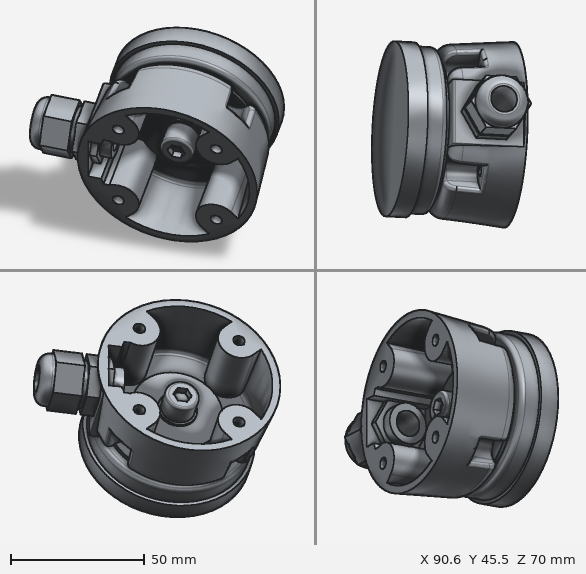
import cadquery as cq
import math

BASE_RADIUS = 35.0
BASE_HEIGHT = 28.5
BASE_DRAFT = math.radians(5.2)
BASE_EDGE_FILLET = 5.0

NECK_RADIUS = 27.0
NECK_END = 30.0
COLLAR_RADIUS = 31.5
COLLAR_FILLET = 2.0
COLLAR_END = 38.0
RIM_RADIUS = 33.0
RIM_END = 45.5

WALL = 3.0
CAVITY_RADIUS = BASE_RADIUS - WALL
CAVITY_DEPTH = BASE_HEIGHT - WALL
CAVITY_FILLET = 2.0

BOSS_CIRCLE_RADIUS = NECK_RADIUS
BOSS_RADIUS = 8.0
BOSS_ANGLES = (45, 135, 225, 315)
SCREW_HOLE_DIAMETER = 4.4
NOTCH_RADIUS = 5.0
NOTCH_FLOOR = 15.0
NOTCH_FILLET = 1.5

PAD_X = -32.7
PAD_HALF_WIDTH = 12.4
PAD_FILLET = 1.0
PAD_EDGE_FILLET = 0.2
LIP_HEIGHT = 1.1
ENTRY_WALL_X = -30.9
ENTRY_HALF_WIDTH = 9.4
ENTRY_MOUTH_HALF_WIDTH = 11.9
ENTRY_STEP_X = -25.8
ENTRY_MOUTH_X = -24.85

GLAND_Y = 13.6
GLAND_TIP_X = -55.6
GLAND_CAP_RADIUS = 10.0
GLAND_CAP_FILLET = 4.0
GLAND_NUT_X = -50.5
GLAND_NUT_END_X = -39.5
GLAND_BODY_X = -37.7
GLAND_NECK_RADIUS = 9.0
GLAND_FLATS = 20.0
LOCKNUT_END_X = -28.1
GLAND_TUBE_RADIUS = 8.0
GLAND_TUBE_END_X = -23.5
GLAND_BORE_DIAMETER = 10.0

PLATEAU_RADIUS = 17.5
PLATEAU_FRONT = 22.4
STUD_COLLAR_HEIGHT = 1.0
STUD_COLLAR_FRONT = PLATEAU_FRONT - STUD_COLLAR_HEIGHT
STUD_FRONT = 12.5
STUD_RADIUS = 6.5
STUD_FILLET = 1.1
STUD_COLLAR_RADIUS = 7.5
SOCKET_FLATS = 6.0
SOCKET_DEPTH = 3.0

CUT_OVERRUN = 1.0
EDGE_TOLERANCE = 0.01
COS_30 = math.cos(math.radians(30))
BOSS_OFFSET = BOSS_CIRCLE_RADIUS * math.cos(math.radians(45))


def disc(radius, start, end):
    """Cylinder about the housing axis between two Y positions."""
    return cq.Workplane("XZ", origin=(0, start, 0)).circle(radius).extrude(start - end)


def block(x_range, y_range, z_range):
    """Axis-aligned box from its limits."""
    size = [high - low for low, high in (x_range, y_range, z_range)]
    corner = (x_range[0], y_range[0], z_range[0])
    return cq.Workplane("XY").box(*size, centered=False).translate(corner)


def tapered_disc(radius, height, edge_fillet):
    """Drafted disc standing on Y = 0, narrowing to a rounded far edge."""
    top_radius = radius - height * math.tan(BASE_DRAFT)
    profile = [(0, 0), (radius, 0), (top_radius, height), (0, height)]
    body = cq.Workplane("XY").polyline(profile).close().revolve(360, (0, 0), (0, 1))
    return body.faces(">Y").edges().fillet(edge_fillet)


def radial_slot(radius, angle, start, end):
    """Round-ended slot on the boss circle, open radially outwards."""
    reach = BASE_RADIUS + BOSS_RADIUS
    round_end = disc(radius, start, end).translate((BOSS_CIRCLE_RADIUS, 0, 0))
    sides = block((BOSS_CIRCLE_RADIUS, reach), (start, end), (-radius, radius))
    return round_end.union(sides).rotate((0, 0, 0), (0, 1, 0), angle)


def gland_disc(radius, start, end):
    """Cylinder about the gland axis between two X positions."""
    return cq.Workplane("YZ", origin=(start, GLAND_Y, 0)).circle(radius).extrude(end - start)


def gland_hex(start, end):
    """Hexagon about the gland axis, with flats facing up and down."""
    plane = cq.Workplane("YZ", origin=(start, GLAND_Y, 0))
    return plane.polygon(6, GLAND_FLATS / COS_30).extrude(end - start)


def is_notch_rim(edge):
    """True for the edges where a notch breaks out through the outside of the base."""
    middle = edge.positionAt(0.5)
    distance = math.hypot(middle.x, middle.z)
    angle = math.atan2(middle.z, middle.x)
    from_boss_line = (angle % (math.pi / 2)) - math.pi / 4
    beside_notch = distance * abs(math.sin(from_boss_line)) < NOTCH_RADIUS + EDGE_TOLERANCE
    on_flank = edge.geomType() in ("HYPERBOLA", "BSPLINE")
    on_back_face = abs(middle.y - BASE_HEIGHT) < EDGE_TOLERANCE
    on_floor = abs(middle.y - NOTCH_FLOOR) < EDGE_TOLERANCE
    at_outside = distance > BOSS_CIRCLE_RADIUS + NOTCH_RADIUS
    return on_flank or (beside_notch and (on_back_face or (on_floor and at_outside)))


def make_shell():
    """Drafted base with a rounded notch behind each boss."""
    shell = tapered_disc(BASE_RADIUS, BASE_HEIGHT, BASE_EDGE_FILLET)
    for angle in BOSS_ANGLES:
        shell = shell.cut(radial_slot(NOTCH_RADIUS, angle, NOTCH_FLOOR, BASE_HEIGHT + CUT_OVERRUN))
    rims = [edge for edge in shell.edges().vals() if is_notch_rim(edge)]
    return shell.newObject(rims).fillet(NOTCH_FILLET)


def make_head():
    """Neck, rounded collar and rim behind the base."""
    neck = disc(NECK_RADIUS, BASE_HEIGHT, NECK_END)
    collar = disc(COLLAR_RADIUS, NECK_END, COLLAR_END)
    collar = collar.faces("<Y").edges().fillet(COLLAR_FILLET)
    rim = disc(RIM_RADIUS, COLLAR_END, RIM_END)
    return neck.union(collar).union(rim)


def add_pad(shell):
    """Flat cable-entry pad; the base keeps a thin full-round lip in front of it."""
    beyond_pad = block(
        (-BASE_RADIUS - CUT_OVERRUN, PAD_X), (LIP_HEIGHT, BASE_HEIGHT), (-BASE_RADIUS, BASE_RADIUS)
    )
    pad = block((PAD_X, ENTRY_MOUTH_X), (0, BASE_HEIGHT), (-PAD_HALF_WIDTH, PAD_HALF_WIDTH))
    pad = pad.edges("<X and >Y").fillet(PAD_FILLET)
    pad = pad.faces("<Z or >Z").edges("not (>X or <Y)").fillet(PAD_EDGE_FILLET)
    return shell.cut(beyond_pad).union(pad)


def entry_filler():
    """Solid region between the cable entry and the upper boss on the -X side."""
    outline = [
        (-BASE_RADIUS, ENTRY_HALF_WIDTH),
        (ENTRY_STEP_X, ENTRY_HALF_WIDTH),
        (ENTRY_MOUTH_X, ENTRY_MOUTH_HALF_WIDTH),
        (-BOSS_OFFSET, ENTRY_MOUTH_HALF_WIDTH),
        (-BOSS_OFFSET, BOSS_OFFSET),
        (-BASE_RADIUS, BASE_RADIUS),
    ]
    return cq.Workplane("XZ").polyline(outline).close().extrude(-CAVITY_DEPTH)


def make_cavity():
    """Drafted cavity volume, leaving the bosses and the cable-entry walls standing."""
    cavity = tapered_disc(CAVITY_RADIUS, CAVITY_DEPTH, CAVITY_FILLET)
    for angle in BOSS_ANGLES:
        cavity = cavity.cut(radial_slot(BOSS_RADIUS, angle, 0, CAVITY_DEPTH))
    filler = entry_filler()
    cavity = cavity.cut(filler).cut(filler.mirror("XY"))
    outside_wall = block(
        (-BASE_RADIUS, ENTRY_WALL_X), (0, CAVITY_DEPTH), (-ENTRY_HALF_WIDTH, ENTRY_HALF_WIDTH)
    )
    entry = block(
        (ENTRY_WALL_X, ENTRY_STEP_X), (0, CAVITY_DEPTH), (-ENTRY_HALF_WIDTH, ENTRY_HALF_WIDTH)
    )
    return cavity.cut(outside_wall).union(entry)


def drill_screw_holes(body):
    """Screw hole through each boss into the notch behind it."""
    hole = disc(SCREW_HOLE_DIAMETER / 2, 0, NOTCH_FLOOR).translate((BOSS_CIRCLE_RADIUS, 0, 0))
    for angle in BOSS_ANGLES:
        body = body.cut(hole.rotate((0, 0, 0), (0, 1, 0), angle))
    return body


def make_gland():
    """Cable gland: domed cap, cap nut, neck, body and locknut, and inner tube."""
    cap = gland_disc(GLAND_CAP_RADIUS, GLAND_TIP_X, GLAND_NUT_X)
    cap = cap.faces("<X").edges().fillet(GLAND_CAP_FILLET)
    cap_nut = gland_hex(GLAND_NUT_X, GLAND_NUT_END_X)
    neck = gland_disc(GLAND_NECK_RADIUS, GLAND_NUT_END_X, GLAND_BODY_X)
    body = gland_hex(GLAND_BODY_X, PAD_X)
    locknut = gland_hex(PAD_X, LOCKNUT_END_X)
    tube = gland_disc(GLAND_TUBE_RADIUS, LOCKNUT_END_X, GLAND_TUBE_END_X)
    return cap.union(cap_nut).union(neck).union(body).union(locknut).union(tube)


def make_stud():
    """Rounded stud with a hexagon socket, rising from a collar on a round plateau."""
    plateau = disc(PLATEAU_RADIUS, PLATEAU_FRONT, CAVITY_DEPTH)
    collar = disc(STUD_COLLAR_RADIUS, STUD_COLLAR_FRONT, CAVITY_DEPTH)
    stud = disc(STUD_RADIUS, STUD_FRONT, CAVITY_DEPTH).faces("<Y").edges().fillet(STUD_FILLET)
    socket = (
        cq.Workplane("XZ", origin=(0, STUD_FRONT, 0))
        .polygon(6, SOCKET_FLATS / COS_30)
        .extrude(-SOCKET_DEPTH)
    )
    return plateau.union(collar).union(stud).cut(socket)


housing = add_pad(make_shell()).cut(make_cavity())
housing = drill_screw_holes(housing)
gland_bore = gland_disc(GLAND_BORE_DIAMETER / 2, GLAND_TIP_X, GLAND_TUBE_END_X)

result = housing.union(make_head()).union(make_gland()).cut(gland_bore).union(make_stud())